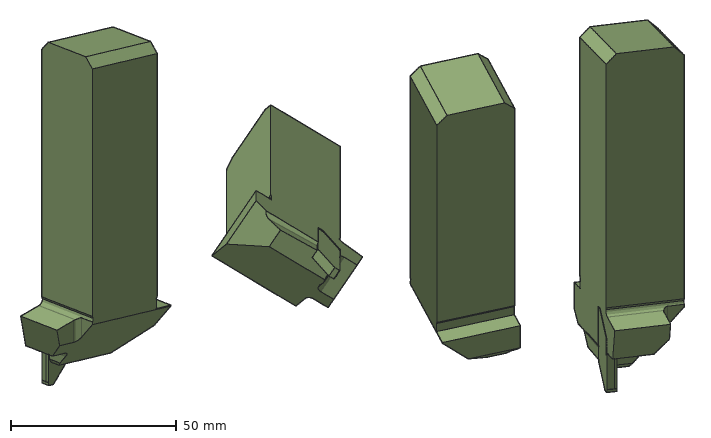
import cadquery as cq
import math


shank_size = 25.0
total_height = 109.1
top_chamfer_width = 3.3
top_chamfer_height = 3.0

relief_depth = 0.3
relief_top = 27.4
relief_slope_height = 0.7
head_front = 0.0
web_front = relief_depth
back_relief_top = 28.9

shelf_height = 25.1
ear_back = 30.2
ear_bottom = 16.5
web_bottom = 7.3
web_back = 20.7
web_inset = 0.4
web_taper = 2.0
web_chamfer_height = 1.1
web_chamfer_depth = 0.5
nose_embed = 1.1
nose_tip_y = -8.1
nose_tip_z = 22.8
nose_base_y = -6.1
nose_bottom = 13.0
nose_width = 17.9
nose_slope = math.radians(16)
root_radius = 2.0
nose_side_radius = 1.7
web_radius = 1.7
diagonal_top = 24.8

root_center_y = relief_depth - root_radius
root_tangent_y = root_center_y + root_radius * math.sin(nose_slope)
root_tangent_z = nose_tip_z + (root_tangent_y - nose_tip_y) * math.tan(nose_slope)
root_center_z = root_tangent_z + root_radius * math.cos(nose_slope)

blade_left = 0.2
blade_right = 3.5
blade_ridge_x = 2.6
blade_ridge_height = 0.3
blade_back = 7.9
blade_top_front = 6.2
blade_shoulder = 17.6
blade_tip_back = 1.9
tip_land_height = 1.0


def profile_yz(points, x_start, x_end):
    """Extrude a Y-Z outline between two X positions."""
    return cq.Workplane("YZ").workplane(offset=x_start).polyline(points).close().extrude(x_end - x_start)


def profile_xz(points, y_start, y_end):
    """Extrude an X-Z outline between two Y positions."""
    return cq.Workplane("XZ", origin=(0, y_start, 0)).polyline(points).close().extrude(y_start - y_end)


def make_main_body():
    """Shank, relief steps, rear ear and web in one side outline."""
    back_wall = shank_size - relief_depth
    outline = [
        (0, total_height),
        (0, relief_top),
        (relief_depth, root_center_z),
        (web_front, web_bottom + web_chamfer_height),
        (web_front + web_chamfer_depth, web_bottom),
        (web_back, web_bottom),
        (ear_back, ear_bottom),
        (ear_back, shelf_height),
        (back_wall, shelf_height),
        (back_wall, back_relief_top - relief_slope_height),
        (shank_size, back_relief_top),
        (shank_size, total_height),
    ]
    return profile_yz(outline, 0, shank_size)


def make_nose():
    """Sloped front nose with concave fillets where it meets the shank and the web."""
    half_angle = (math.pi / 2 - nose_slope) / 2
    root_middle = (
        root_center_y + root_radius * math.cos(half_angle),
        root_center_z - root_radius * math.sin(half_angle),
    )
    web_arc_y = web_front - web_radius
    web_arc_z = nose_bottom - web_radius
    arc_reach = web_radius * math.sqrt(0.5)
    embed_y = web_front + nose_embed
    nose = (
        cq.Workplane("YZ")
        .moveTo(embed_y, root_center_z)
        .lineTo(relief_depth, root_center_z)
        .threePointArc(root_middle, (root_tangent_y, root_tangent_z))
        .lineTo(nose_tip_y, nose_tip_z)
        .lineTo(nose_base_y, nose_bottom)
        .lineTo(web_arc_y, nose_bottom)
        .threePointArc((web_arc_y + arc_reach, web_arc_z + arc_reach), (web_front, web_arc_z))
        .lineTo(embed_y, web_arc_z)
        .close()
        .extrude(shank_size)
    )
    flare_x = nose_width + nose_side_radius
    flare_y = head_front - nose_side_radius
    flare_reach = nose_side_radius * (1 - math.sqrt(0.5))
    plan = (
        cq.Workplane("XY")
        .moveTo(0, nose_tip_y)
        .lineTo(nose_width, nose_tip_y)
        .lineTo(nose_width, flare_y)
        .threePointArc((nose_width + flare_reach, head_front - flare_reach), (flare_x, head_front))
        .lineTo(shank_size, head_front)
        .lineTo(shank_size, embed_y)
        .lineTo(0, embed_y)
        .close()
        .extrude(total_height)
    )
    return nose.intersect(plan)


def make_web_side_recess():
    """Cutter that steps the web in from the side, with a fillet under the ledge."""
    fillet_start = nose_bottom - web_radius
    center_x = web_inset - web_radius
    arc_reach = web_radius * math.sqrt(0.5)
    sweep_length = ear_back + nose_embed
    return (
        cq.Workplane("XZ")
        .moveTo(center_x, 0)
        .lineTo(web_inset, 0)
        .lineTo(web_inset, fillet_start)
        .threePointArc((center_x + arc_reach, fillet_start + arc_reach), (center_x, nose_bottom))
        .close()
        .extrude(-sweep_length)
        .rotate((0, 0, 0), (0, 0, 1), -web_taper)
    )


def make_diagonal_cutter():
    """45 degree cut across the lower corner of the head."""
    diagonal_end = shank_size - diagonal_top
    return profile_xz([(shank_size, diagonal_top), (shank_size, 0), (diagonal_end, 0)], ear_back, nose_tip_y)


def make_top_chamfers():
    """Cutters for the two upper edges of the shank."""
    shoulder = total_height - top_chamfer_height
    left = [(0, shoulder), (top_chamfer_width, total_height), (0, total_height)]
    right = [(shank_size - x, z) for x, z in left]
    return profile_xz(left, shank_size, 0).union(profile_xz(right, shank_size, 0))


def make_blade(left):
    """Blade with a ridged front, starting at the given X position."""
    side_outline = [
        (blade_back, shelf_height),
        (blade_top_front, shelf_height),
        (0, blade_shoulder),
        (-blade_ridge_height, blade_shoulder),
        (-blade_ridge_height, tip_land_height),
        (0, tip_land_height),
        (0, 0),
        (blade_tip_back, 0),
        (blade_back, web_bottom),
    ]
    plan_outline = [
        (left, 0),
        (blade_ridge_x, -blade_ridge_height),
        (blade_right, 0),
        (blade_right, blade_back),
        (left, blade_back),
    ]
    plan = cq.Workplane("XY").polyline(plan_outline).close().extrude(shelf_height)
    return profile_yz(side_outline, left, blade_right).intersect(plan)


blade = make_blade(blade_left)
pocket = make_blade(0).union(blade)

holder = (
    make_main_body()
    .union(make_nose())
    .cut(make_web_side_recess())
    .cut(make_diagonal_cutter())
    .cut(make_top_chamfers())
    .cut(pocket)
)

result = cq.Compound.makeCompound([holder.val(), blade.val()])